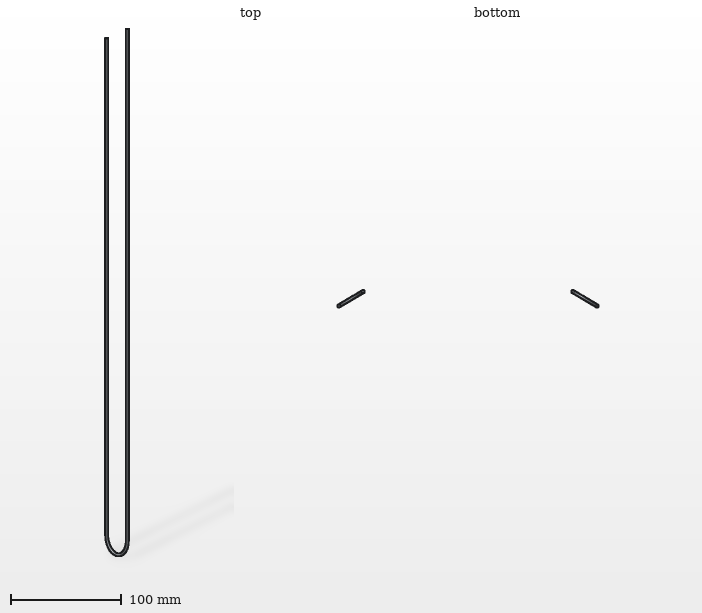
import cadquery as cq
import math

rod_diameter = 3.0
width_x = 25.0
width_y = 16.0
total_height = 500.5
short_leg_drop = 14.0
bend_depth = 16.0
bend_curve_steps = 40

leg_offset_x = width_x - rod_diameter
leg_offset_y = width_y - rod_diameter
rod_radius = rod_diameter / 2
half_spacing = math.hypot(leg_offset_x, leg_offset_y) / 2
plane_angle = math.degrees(math.atan2(leg_offset_y, leg_offset_x))

bend_start_z = rod_radius + bend_depth
short_leg_top = total_height - short_leg_drop


def bend_point(fraction):
    """Point on the half-elliptical bend, from the short leg (0) to the long leg (1)."""
    angle = math.pi * (1 + fraction)
    return half_spacing * math.cos(angle), bend_start_z + bend_depth * math.sin(angle)


centre_line = (
    cq.Workplane("XZ")
    .moveTo(-half_spacing, short_leg_top)
    .lineTo(-half_spacing, bend_start_z)
    .parametricCurve(bend_point, N=bend_curve_steps, makeWire=False)
    .moveTo(half_spacing, bend_start_z)
    .lineTo(half_spacing, total_height)
    .wire()
)

rod = (
    cq.Workplane("XY", origin=(-half_spacing, 0, short_leg_top))
    .circle(rod_radius)
    .sweep(centre_line)
)

result = rod.rotate((0, 0, 0), (0, 0, 1), plane_angle)